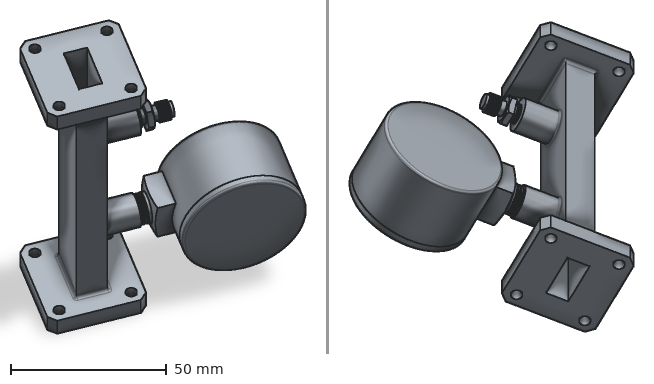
import cadquery as cq
import math

overall_height = 107.95
flange_size = 33.32
flange_thickness = 6.5
flange_chamfer = 2.54
hole_diameter = 3.7
hole_pitch_x = 25.25
hole_pitch_y = 24.28
bore_x = 15.8
bore_y = 7.9
wall = 1.27
tube_x = bore_x + 2 * wall
tube_y = bore_y + 2 * wall
flange_fillet = 1.27

crest_share = 0.3

post_diameter = 11.43
post_end_y = 17.75
post_fillet = 0.7
post_offset_z = 22.86
socket_depth = 5.0

valve_body_diameter = 5.2
valve_thread_diameter = 6.7
valve_thread_pitch = 0.7
valve_root_thread_turns = 2
valve_cap_thread_turns = 6
valve_hex_start = 2.75
valve_hex_thickness = 2.45
valve_hex_flats = 9.2
valve_hex_face_radius = 4.3
valve_hex_chamfer_angle = 30
valve_cap_thread_start = 7.1
valve_length = 12.36

case_radius = 21.0
case_center_y = 48.74
case_left_x = -9.75
case_right_x = 17.46
case_fillet = 0.9
bezel_thickness = 2.75
bezel_start_x = case_right_x - bezel_thickness
block_size = 14.3
block_face_y = 21.67
block_chamfer_angle = 14
block_face_radius = 5.6
gauge_root_diameter = 8.8
gauge_thread_diameter = 10.3
gauge_thread_pitch = 25.4 / 27
gauge_thread_turns = 3
collar_diameter = 10.6


def rod_along_y(diameter, start_y, end_y, center_z):
    """Round rod on the YZ plane, parallel to Y."""
    plane = cq.Plane(origin=(0, start_y, center_z), xDir=(1, 0, 0), normal=(0, 1, 0))
    return cq.Workplane(plane).circle(diameter / 2).extrude(end_y - start_y)


def turned_along_y(profile, center_z):
    """Solid of revolution about a Y-parallel axis from (radius, y) points."""
    plane = cq.Plane(origin=(0, 0, center_z), xDir=(1, 0, 0), normal=(0, 0, 1))
    return cq.Workplane(plane).polyline(profile).close().revolve(360, (0, 0), (0, 1))


def thread_along_y(root_diameter, crest_diameter, pitch, turns, start_y, center_z):
    """Thread drawn as a stack of flat-crested rings on a core of the root diameter."""
    end_y = start_y + turns * pitch
    profile = [(0, start_y), (root_diameter / 2, start_y)]
    flank_share = (1 - crest_share) / 2
    for turn in range(turns):
        profile.append((crest_diameter / 2, start_y + (turn + flank_share) * pitch))
        profile.append((crest_diameter / 2, start_y + (turn + 1 - flank_share) * pitch))
        profile.append((root_diameter / 2, start_y + (turn + 1) * pitch))
    profile.append((0, end_y))
    return turned_along_y(profile, center_z)


def conical_end(face_radius, outer_radius, face_y, depth, angle, center_z, direction):
    """Cone-ended blank that trims the corners of a prism; its flat face is at face_y."""
    slope = (outer_radius - face_radius) * math.tan(math.radians(angle))
    profile = [
        (0, face_y),
        (face_radius, face_y),
        (outer_radius, face_y + direction * slope),
        (outer_radius, face_y + direction * depth),
        (0, face_y + direction * depth),
    ]
    return turned_along_y(profile, center_z)


def make_flange(bottom_z):
    """Square flange with chamfered corners and four bolt holes."""
    return (
        cq.Workplane("XY", origin=(0, 0, bottom_z))
        .rect(flange_size, flange_size)
        .extrude(flange_thickness)
        .edges("|Z")
        .chamfer(flange_chamfer)
        .faces(">Z")
        .workplane()
        .rect(hole_pitch_x, hole_pitch_y, forConstruction=True)
        .vertices()
        .hole(hole_diameter)
    )


def fillet_strip(plane_name, width, length):
    """Concave fillets along two opposite tube walls, joined through the tube."""
    radius = flange_fillet
    half = width / 2
    arc_mid = radius * (1 - math.sqrt(0.5))
    return (
        cq.Workplane(plane_name)
        .moveTo(-half - radius, 0)
        .lineTo(half + radius, 0)
        .threePointArc((half + arc_mid, arc_mid), (half, radius))
        .lineTo(-half, radius)
        .threePointArc((-half - arc_mid, arc_mid), (-half - radius, 0))
        .close()
        .extrude(length / 2, both=True)
    )


def make_tube_fillet():
    """Concave fillet around the tube foot, turned about each tube corner; base at Z = 0."""
    radius = flange_fillet
    arc_mid = radius * (1 - math.sqrt(0.5))
    flare = (
        cq.Workplane("XZ")
        .lineTo(radius, 0)
        .threePointArc((arc_mid, arc_mid), (0, radius))
        .close()
        .revolve(360, (0, 0), (0, 1))
    )
    fillet = fillet_strip("XZ", tube_x, tube_y).union(fillet_strip("YZ", tube_y, tube_x))
    for x in (-tube_x / 2, tube_x / 2):
        for y in (-tube_y / 2, tube_y / 2):
            fillet = fillet.union(flare.translate((x, y, 0)))
    return fillet


def make_waveguide():
    """Tube with a flange at each end, two posts and a straight rectangular bore."""
    half_height = overall_height / 2
    inner_z = half_height - flange_thickness
    body = cq.Workplane("XY").box(tube_x, tube_y, overall_height)
    for center_z in (-post_offset_z, post_offset_z):
        body = body.union(rod_along_y(post_diameter, 0, post_end_y, center_z))
    seam_half = post_diameter / 2 + post_fillet
    for center_z in (-post_offset_z, post_offset_z):
        seam = cq.selectors.BoxSelector(
            (-seam_half, tube_y / 2 - post_fillet, center_z - seam_half),
            (seam_half, tube_y / 2 + post_fillet, center_z + seam_half),
        )
        body = body.edges(seam).edges("%CIRCLE").fillet(post_fillet)
    body = body.union(make_flange(-half_height)).union(make_flange(inner_z))
    fillet = make_tube_fillet().translate((0, 0, -inner_z))
    body = body.union(fillet).union(fillet.mirror("XY"))
    body = body.cut(cq.Workplane("XY").box(bore_x, bore_y, overall_height))
    socket_start = post_end_y - socket_depth
    body = body.cut(rod_along_y(gauge_root_diameter, socket_start, post_end_y, -post_offset_z))
    body = body.cut(rod_along_y(valve_body_diameter, socket_start, post_end_y, post_offset_z))
    return body


def make_valve():
    """Filling valve: round body with a hexagon and two threads."""
    center_z = post_offset_z
    body = rod_along_y(valve_body_diameter, post_end_y - socket_depth, post_end_y + valve_length, center_z)
    for start, turns in ((0, valve_root_thread_turns), (valve_cap_thread_start, valve_cap_thread_turns)):
        body = body.union(
            thread_along_y(
                valve_body_diameter, valve_thread_diameter, valve_thread_pitch, turns,
                post_end_y + start, center_z,
            )
        )
    hex_start_y = post_end_y + valve_hex_start
    hex_corners = valve_hex_flats / math.cos(math.pi / 6)
    plane = cq.Plane(origin=(0, hex_start_y, center_z), xDir=(1, 0, 0), normal=(0, 1, 0))
    hexagon = cq.Workplane(plane).polygon(6, hex_corners).extrude(valve_hex_thickness)
    trim = conical_end(
        valve_hex_face_radius, hex_corners / 2, hex_start_y + valve_hex_thickness,
        valve_hex_thickness, valve_hex_chamfer_angle, center_z, -1,
    )
    return body.union(hexagon.intersect(trim))


def case_cylinder(start_x, end_x):
    """Length of the gauge case cylinder between two X stations."""
    plane = cq.Workplane("YZ", origin=(start_x, case_center_y, -post_offset_z))
    return plane.circle(case_radius).extrude(end_x - start_x)


def make_gauge():
    """Gauge case with its square block, collar and threaded stem."""
    center_z = -post_offset_z
    case = case_cylinder(case_left_x, bezel_start_x).faces("<X").edges().fillet(case_fillet)
    block_length = case_center_y - block_face_y
    block = cq.Workplane("XY").box(block_size, block_length, block_size)
    block = block.translate((0, block_face_y + block_length / 2, center_z))
    trim = conical_end(
        block_face_radius, block_size, block_face_y,
        block_length, block_chamfer_angle, center_z, 1,
    )
    thread_end_y = post_end_y + gauge_thread_turns * gauge_thread_pitch
    thread = thread_along_y(
        gauge_root_diameter, gauge_thread_diameter, gauge_thread_pitch, gauge_thread_turns,
        post_end_y, center_z,
    )
    spigot = rod_along_y(gauge_root_diameter, post_end_y - socket_depth, post_end_y, center_z)
    collar = rod_along_y(collar_diameter, thread_end_y, block_face_y, center_z)
    return case.union(block.intersect(trim)).union(collar).union(thread).union(spigot)


def make_bezel():
    """Disc closing the dial side of the gauge case."""
    return case_cylinder(bezel_start_x, case_right_x).faces(">X").edges().fillet(case_fillet)


waveguide = make_waveguide()
valve = make_valve()
gauge = make_gauge()
bezel = make_bezel()
result = cq.Compound.makeCompound([waveguide.val(), valve.val(), gauge.val(), bezel.val()])